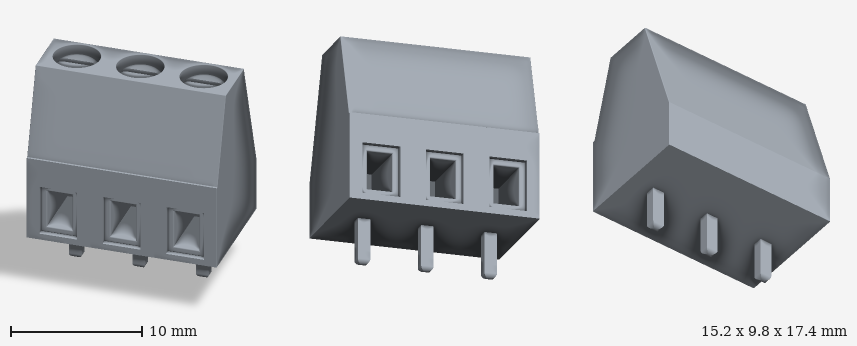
import cadquery as cq


OVERALL_HEIGHT = 17.4

POLE_COUNT = 3
POLE_PITCH = 5.08

HOUSING_WIDTH = POLE_COUNT * POLE_PITCH
HOUSING_DEPTH = 9.8
HOUSING_HEIGHT = 13.8
FRONT_Y = -4.6
BACK_Y = FRONT_Y + HOUSING_DEPTH
FRONT_WALL_HEIGHT = 6.9
BACK_WALL_HEIGHT = 4.25
FRONT_STEP = 0.2
TOP_FRONT_INSET = 2.26
TOP_BACK_INSET = 3.11
HOUSING_EDGE_RADIUS = 0.05

CAGE_WIDTH = 3.03
CAGE_HEIGHT = 4.07
CAGE_WALL = 0.5
CAGE_BOTTOM_Z = 0.5
CAGE_SETBACK = 0.4
CAGE_EDGE_RADIUS = 0.1
WIRE_CAVITY_DEPTH = 5.0

SCREW_DIAMETER = 3.67
SCREW_FLAT_DIAMETER = 1.98
SCREW_EDGE_RADIUS = (SCREW_DIAMETER - SCREW_FLAT_DIAMETER) / 2
SCREW_SETBACK = 0.5
SLOT_WIDTH = 0.5
SLOT_DEPTH = 0.55
WELL_DEPTH = 1.5

PIN_WIDTH = 1.01
PIN_THICKNESS = 0.8
PIN_LENGTH = OVERALL_HEIGHT - HOUSING_HEIGHT
PIN_TIP_RADIUS = 0.38


def make_housing():
    """Extruded side profile with sloping upper faces and a small front step."""
    profile = [
        (FRONT_Y, 0),
        (FRONT_Y, FRONT_WALL_HEIGHT),
        (FRONT_Y + FRONT_STEP, FRONT_WALL_HEIGHT),
        (FRONT_Y + TOP_FRONT_INSET, HOUSING_HEIGHT),
        (BACK_Y - TOP_BACK_INSET, HOUSING_HEIGHT),
        (BACK_Y, BACK_WALL_HEIGHT),
        (BACK_Y, 0),
    ]
    return cq.Workplane("YZ").polyline(profile).close().extrude(HOUSING_WIDTH / 2, both=True)


def make_entry_block(width, height, depth):
    """Block centred on the wire entry, running back from the housing's front face."""
    centre_z = CAGE_BOTTOM_Z + CAGE_HEIGHT / 2
    return (
        cq.Workplane("XY")
        .box(width, depth, height, centered=(True, False, True))
        .translate((0, FRONT_Y, centre_z))
    )


def make_cage():
    """Wire cage, closed at the back, with rounded edges around its front rim."""
    outer = make_entry_block(CAGE_WIDTH, CAGE_HEIGHT, WIRE_CAVITY_DEPTH + CAGE_WALL)
    cavity = make_entry_block(
        CAGE_WIDTH - 2 * CAGE_WALL, CAGE_HEIGHT - 2 * CAGE_WALL, WIRE_CAVITY_DEPTH
    )
    cage = outer.cut(cavity).faces("<Y").edges().fillet(CAGE_EDGE_RADIUS)
    return cage.translate((0, CAGE_SETBACK, 0))


def make_cage_seat():
    """Space in the housing taken up by the cage and the window in front of it."""
    return make_entry_block(CAGE_WIDTH, CAGE_HEIGHT, CAGE_SETBACK + WIRE_CAVITY_DEPTH + CAGE_WALL)


def make_screw_well():
    """Round well in the top of the housing."""
    return (
        cq.Workplane("XY", origin=(0, 0, HOUSING_HEIGHT - WELL_DEPTH))
        .circle(SCREW_DIAMETER / 2)
        .extrude(WELL_DEPTH)
    )


def make_screw():
    """Domed screw head with a flat centre and a straight slot along X."""
    head_height = WELL_DEPTH - SCREW_SETBACK
    slot = (
        cq.Workplane("XY", origin=(0, 0, head_height - SLOT_DEPTH))
        .rect(SCREW_DIAMETER, SLOT_WIDTH)
        .extrude(SLOT_DEPTH)
    )
    head = (
        cq.Workplane("XY")
        .circle(SCREW_DIAMETER / 2)
        .extrude(head_height)
        .faces(">Z").edges().fillet(SCREW_EDGE_RADIUS)
        .cut(slot)
    )
    return head.translate((0, 0, HOUSING_HEIGHT - WELL_DEPTH))


def make_pin():
    """Rectangular pin below the housing with a rounded tip."""
    return (
        cq.Workplane("XY")
        .rect(PIN_WIDTH, PIN_THICKNESS)
        .extrude(-PIN_LENGTH)
        .faces("<Z").edges().fillet(PIN_TIP_RADIUS)
    )


def place_at_poles(make_part):
    """One copy of a part at each pole, as a list."""
    first_x = -(POLE_COUNT - 1) / 2 * POLE_PITCH
    return [make_part().translate((first_x + pole * POLE_PITCH, 0, 0)) for pole in range(POLE_COUNT)]


result = make_housing()
for well in place_at_poles(make_screw_well):
    result = result.cut(well)

result = result.faces(">Z or <X or >X").edges("not(<Z)").fillet(HOUSING_EDGE_RADIUS)

for seat in place_at_poles(make_cage_seat):
    result = result.cut(seat)
for make_fitting in (make_cage, make_screw, make_pin):
    for fitting in place_at_poles(make_fitting):
        result = result.union(fitting)